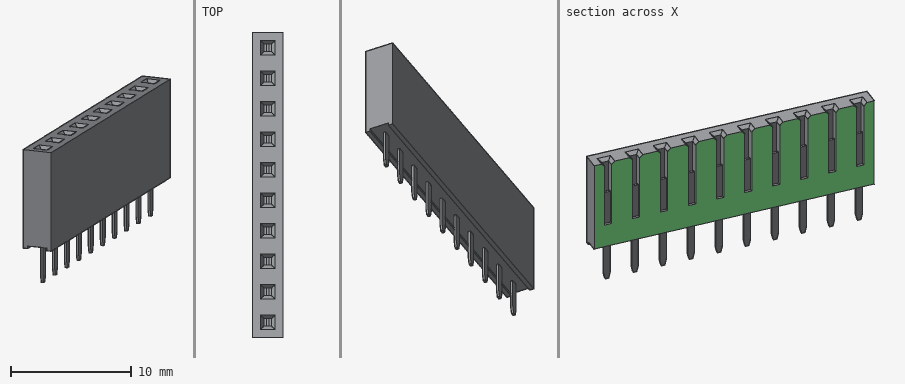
import cadquery as cq

socket_count = 10
row_length = 25.4
body_width = 2.55
total_height = 11.6
pin_projection = 3.1
pitch = row_length / socket_count

foot_width = 0.4
foot_height = 0.23

mouth_side = 1.2
cavity_side = 0.6
funnel_depth = (mouth_side - cavity_side) / 2
socket_depth = 6.1

pin_thickness = 0.2
pin_width = cavity_side
pin_tip_width = pin_width / 2
pin_taper_height = 0.6
blade_height = 3.05

body_bottom = pin_projection
body_top = total_height
body_height = body_top - body_bottom
socket_floor = body_top - socket_depth
blade_top = socket_floor + blade_height

socket_positions = [(index - (socket_count - 1) / 2) * pitch for index in range(socket_count)]


def make_body():
    """Plain housing block with the channel cut along its underside."""
    block = (
        cq.Workplane("XY", origin=(0, 0, body_bottom))
        .box(body_width, row_length, body_height, centered=(True, True, False))
    )
    channel = (
        cq.Workplane("XY", origin=(0, 0, body_bottom))
        .box(body_width - 2 * foot_width, row_length, foot_height, centered=(True, True, False))
    )
    return block.cut(channel)


def make_socket(y):
    """Tapered mouth above a straight cavity, as a solid to be cut away."""
    funnel = (
        cq.Workplane("XY", origin=(0, y, body_top))
        .rect(mouth_side, mouth_side)
        .workplane(offset=-funnel_depth)
        .rect(cavity_side, cavity_side)
        .loft(ruled=True)
    )
    cavity = (
        cq.Workplane("XY", origin=(0, y, socket_floor))
        .box(cavity_side, cavity_side, socket_depth - funnel_depth, centered=(True, True, False))
    )
    return funnel.union(cavity)


def make_pin(y):
    """Flat pin with a tapered tip, reaching up into its socket."""
    half_width = pin_width / 2
    half_tip = pin_tip_width / 2
    outline = [
        (-half_tip, 0),
        (half_tip, 0),
        (half_width, pin_taper_height),
        (half_width, blade_top),
        (-half_width, blade_top),
        (-half_width, pin_taper_height),
    ]
    return (
        cq.Workplane("YZ", origin=(0, y, 0))
        .polyline(outline)
        .close()
        .extrude(pin_thickness / 2, both=True)
    )


result = make_body()
for position in socket_positions:
    result = result.cut(make_socket(position)).union(make_pin(position))